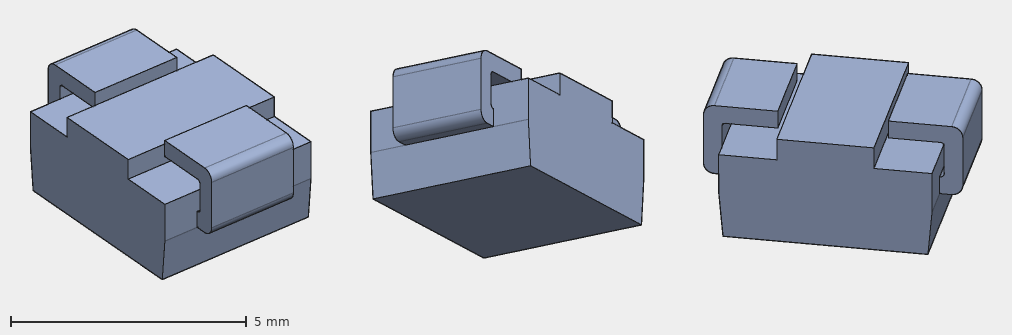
import cadquery as cq

body_depth = 3.95
body_half_width = 2.3
base_half_width = 2.21
parting_height = 1.02
shoulder_height = 1.95
rib_half_width = 1.05
rib_height = 2.44

overall_half_width = 2.8
overall_height = 2.65
terminal_depth = 2.205
terminal_thickness = 0.405
outer_bend_radius = 0.24
inner_bend_radius = 0.08
pad_inner_x = 1.19


def make_body():
    """Body with tapered lower walls and a raised central rib."""
    right_profile = [
        (base_half_width, 0),
        (body_half_width, parting_height),
        (body_half_width, shoulder_height),
        (rib_half_width, shoulder_height),
        (rib_half_width, rib_height),
    ]
    left_profile = [(-x, z) for x, z in reversed(right_profile)]
    return (
        cq.Workplane("XZ")
        .polyline(right_profile + left_profile)
        .close()
        .extrude(body_depth / 2, both=True)
    )


def make_terminal():
    """Right-hand strip, leaving the body at the parting line and folding over its top."""
    inner_wall_x = overall_half_width - terminal_thickness
    lower_arm_top = parting_height + terminal_thickness
    pad_underside = overall_height - terminal_thickness
    profile = [
        (body_half_width, parting_height),
        (overall_half_width, parting_height),
        (overall_half_width, overall_height),
        (pad_inner_x, overall_height),
        (pad_inner_x, pad_underside),
        (inner_wall_x, pad_underside),
        (inner_wall_x, lower_arm_top),
        (body_half_width, lower_arm_top),
    ]
    strip = (
        cq.Workplane("XZ")
        .polyline(profile)
        .close()
        .extrude(terminal_depth / 2, both=True)
    )
    strip = strip.edges("|Y and >X").fillet(outer_bend_radius)
    inner_bends = cq.selectors.BoxSelector(
        (inner_wall_x - inner_bend_radius, -terminal_depth, parting_height + inner_bend_radius),
        (inner_wall_x + inner_bend_radius, terminal_depth, pad_underside + inner_bend_radius),
    )
    return strip.edges("|Y").edges(inner_bends).fillet(inner_bend_radius)


terminal = make_terminal()
result = make_body().union(terminal).union(terminal.mirror("YZ"))